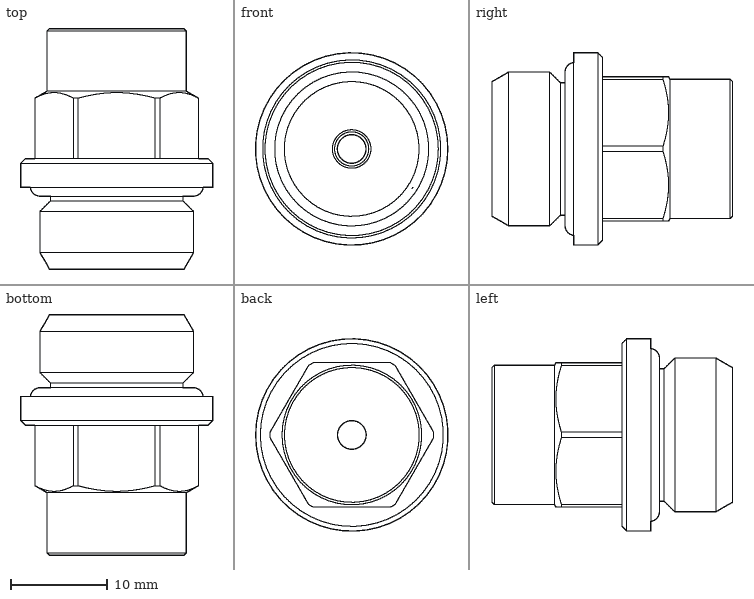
import cadquery as cq
import math

LENGTH = 25.0

SPIGOT_RADIUS = 16.0 / 2
LEAD_IN_HEIGHT = 1.0
LEAD_IN_LENGTH = LEAD_IN_HEIGHT * math.tan(math.radians(60))
RUN_OUT_START = 6.0
NECK_RADIUS = 13.8 / 2
NECK_START = RUN_OUT_START + SPIGOT_RADIUS - NECK_RADIUS

COLLAR_RADIUS = 20.0 / 2
COLLAR_START = 8.5
COLLAR_END = 11.5
COLLAR_CHAMFER = 0.5

HEX_ACROSS_FLATS = 15.0
HEX_TURNED_RADIUS = 17.0 / 2
HEX_END = 18.5
HEX_CONE_ANGLE = 30.0

REAR_RADIUS = 14.5 / 2
REAR_CHAMFER = 0.25

FRONT_BORE_RADIUS = 4.0 / 2
FRONT_BORE_DEPTH = COLLAR_START
CONE_MOUTH_RADIUS = 3.55 / 2
THROUGH_BORE_RADIUS = 2.95 / 2
CONE_DEPTH = CONE_MOUTH_RADIUS - THROUGH_BORE_RADIUS

RING_SECTION_RADIUS = 2.1 / 2
RING_PROTRUSION = 0.92
RING_CENTRE_RADIUS = NECK_RADIUS + RING_SECTION_RADIUS
RING_CENTRE_Y = COLLAR_START - RING_PROTRUSION + RING_SECTION_RADIUS
GROOVE_MOUTH_RADIUS = 18.5 / 2
GROOVE_WALL_ANGLE = 15.0
GROOVE_FLOOR_Y = RING_CENTRE_Y + RING_SECTION_RADIUS
GROOVE_WALL_TAPER = (GROOVE_FLOOR_Y - COLLAR_START) * math.tan(math.radians(GROOVE_WALL_ANGLE))
GROOVE_FLOOR_RADIUS = GROOVE_MOUTH_RADIUS - GROOVE_WALL_TAPER


def turned(points):
    """Solid of revolution about Y from a list of (radius, Y) corners."""
    profile = cq.Workplane("XY").polyline(points).close()
    return profile.revolve(360, (0, 0, 0), (0, 1, 0))


def make_hexagon():
    """Hexagon with flats facing +Z and -Z, trimmed by its turned and coned envelope."""
    across_corners = HEX_ACROSS_FLATS / math.cos(math.radians(30))
    hex_length = HEX_END - COLLAR_END
    prism = (
        cq.Workplane("XZ", origin=(0, HEX_END, 0))
        .polygon(6, across_corners)
        .extrude(hex_length)
    )
    cone_length = (HEX_TURNED_RADIUS - REAR_RADIUS) * math.tan(math.radians(HEX_CONE_ANGLE))
    envelope = turned([
        (0, COLLAR_END),
        (HEX_TURNED_RADIUS, COLLAR_END),
        (HEX_TURNED_RADIUS, HEX_END - cone_length),
        (REAR_RADIUS, HEX_END),
        (0, HEX_END),
    ])
    return prism.intersect(envelope)


def make_bore():
    """Cutting tool for the stepped bore: front bore, flat shoulder, short cone, through bore."""
    return turned([
        (0, 0),
        (FRONT_BORE_RADIUS, 0),
        (FRONT_BORE_RADIUS, FRONT_BORE_DEPTH),
        (CONE_MOUTH_RADIUS, FRONT_BORE_DEPTH),
        (THROUGH_BORE_RADIUS, FRONT_BORE_DEPTH + CONE_DEPTH),
        (THROUGH_BORE_RADIUS, LENGTH),
        (0, LENGTH),
    ])


def make_fitting():
    """Fitting body: turned outline with the O-ring groove, plus the hexagon, less the bore."""
    outline = turned([
        (0, 0),
        (SPIGOT_RADIUS - LEAD_IN_HEIGHT, 0),
        (SPIGOT_RADIUS, LEAD_IN_LENGTH),
        (SPIGOT_RADIUS, RUN_OUT_START),
        (NECK_RADIUS, NECK_START),
        (NECK_RADIUS, GROOVE_FLOOR_Y),
        (GROOVE_FLOOR_RADIUS, GROOVE_FLOOR_Y),
        (GROOVE_MOUTH_RADIUS, COLLAR_START),
        (COLLAR_RADIUS, COLLAR_START),
        (COLLAR_RADIUS, COLLAR_END - COLLAR_CHAMFER),
        (COLLAR_RADIUS - COLLAR_CHAMFER, COLLAR_END),
        (REAR_RADIUS, COLLAR_END),
        (REAR_RADIUS, LENGTH - REAR_CHAMFER),
        (REAR_RADIUS - REAR_CHAMFER, LENGTH),
        (0, LENGTH),
    ])
    return outline.union(make_hexagon()).cut(make_bore())


def make_o_ring():
    """O-ring of round section."""
    section = cq.Workplane("XY").moveTo(RING_CENTRE_RADIUS, RING_CENTRE_Y).circle(RING_SECTION_RADIUS)
    return section.revolve(360, (0, 0, 0), (0, 1, 0))


fitting = make_fitting()
o_ring = make_o_ring()

result = cq.Compound.makeCompound([fitting.val(), o_ring.val()])